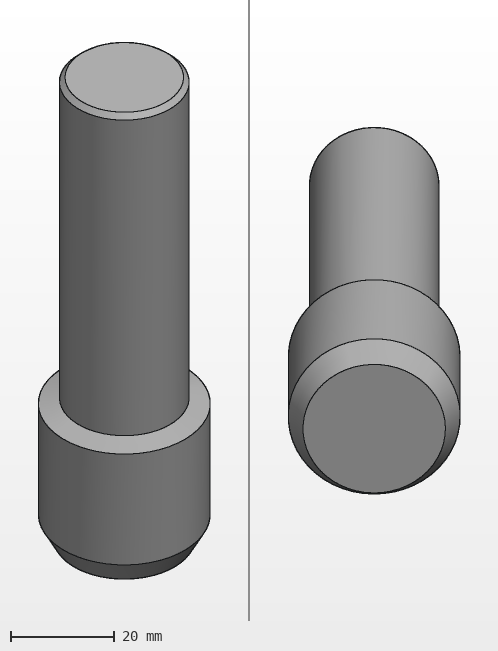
import cadquery as cq

total_height = 110.0
shank_radius = 12.5
head_radius = 16.6

foot_radius = 13.8
foot_height = 5.5
shoulder_start = 32.0
head_height = 33.4

tip_chamfer = 1.1


def make_head():
    """Turned head whose flat top face carries the shank."""
    profile = [
        (0, 0),
        (foot_radius, 0),
        (head_radius, foot_height),
        (head_radius, shoulder_start),
        (shank_radius, head_height),
        (0, head_height),
    ]
    return cq.Workplane("XZ").polyline(profile).close().revolve(360, (0, 0), (0, 1))


def make_shank():
    """Plain round shank standing on the head, chamfered at its free end."""
    shank_length = total_height - head_height
    return (
        cq.Workplane("XY")
        .workplane(offset=head_height)
        .circle(shank_radius)
        .extrude(shank_length)
        .faces(">Z")
        .chamfer(tip_chamfer)
    )


head = make_head()
shank = make_shank()

result = cq.Compound.makeCompound([head.val(), shank.val()])